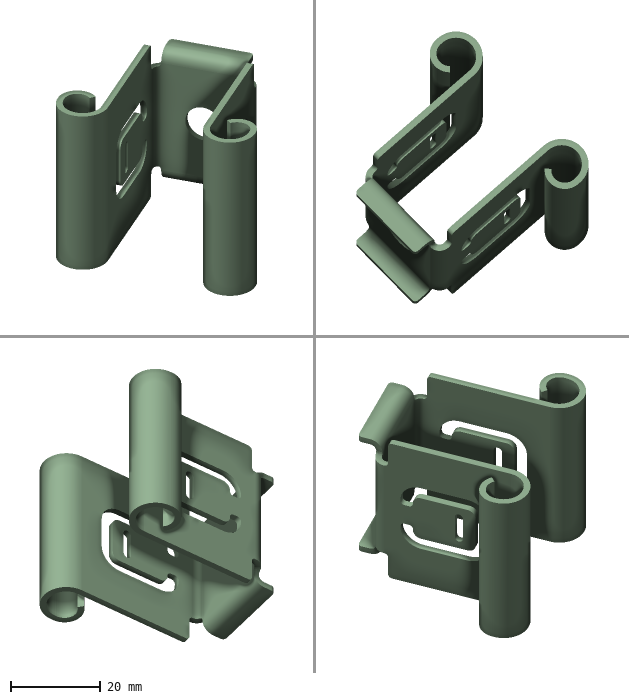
import cadquery as cq
import math


overall_width = 47.0
overall_depth = 44.0
overall_height = 40.0
sheet = 1.5
bend_inner = sheet
bend_outer = bend_inner + sheet
corner_radius = 1.0

leg_gap = 23.0
leg_inner = leg_gap / 2
leg_outer = leg_inner + sheet
curl_outside = overall_width / 2
curl_radius = (curl_outside - leg_inner) / 2
curl_center = leg_inner + curl_radius
curl_straight = 0.5
hook_radius = 4.5
hook_center = curl_outside - hook_radius
hook_end_angle = 138.0

plate_outer = 33.5
plate_inner = plate_outer - sheet
plate_half = leg_outer - bend_outer
bend_center_y = plate_outer - bend_outer
leg_end = bend_center_y - corner_radius
web_half_height = 13.0
leg_half_height = overall_height / 2
flange_tip = overall_depth - curl_radius
flange_half_height = 17.0
flange_bend_z = flange_half_height - bend_outer
flange_bend_y = plate_inner + bend_outer
mounting_hole_diameter = 8.5

gusset_angle = 30.0

gap_width = 3.0
tongue_front = 8.5
tongue_back = 23.55
tongue_half_height = 6.0
tongue_radius = 1.97
neck_half_height = 2.75
gap_end_radius = 1.0
slot_y = 12.5
slot_length = 8.0
slot_width = 1.97


def on_circle(center_x, center_y, radius, degrees):
    angle = math.radians(degrees)
    return (center_x + radius * math.cos(angle), center_y + radius * math.sin(angle))


def both_ways(body, plane):
    return body.union(body.mirror(plane))


def bent_sheet():
    """Back plate, leg bends, legs and curls at full height."""
    hook_middle = hook_end_angle / 2
    half = (
        cq.Workplane("XY")
        .moveTo(0, plate_inner)
        .lineTo(plate_half, plate_inner)
        .threePointArc(on_circle(plate_half, bend_center_y, bend_inner, 45), (leg_inner, bend_center_y))
        .lineTo(leg_inner, 0)
        .threePointArc((curl_center, -curl_radius), (curl_outside, 0))
        .lineTo(curl_outside, curl_straight)
        .threePointArc(
            on_circle(hook_center, curl_straight, hook_radius, hook_middle),
            on_circle(hook_center, curl_straight, hook_radius, hook_end_angle),
        )
        .lineTo(*on_circle(hook_center, curl_straight, hook_radius - sheet, hook_end_angle))
        .threePointArc(
            on_circle(hook_center, curl_straight, hook_radius - sheet, hook_middle),
            (curl_outside - sheet, curl_straight),
        )
        .lineTo(curl_outside - sheet, 0)
        .threePointArc((curl_center, sheet - curl_radius), (leg_outer, 0))
        .lineTo(leg_outer, bend_center_y)
        .threePointArc(on_circle(plate_half, bend_center_y, bend_outer, 45), (plate_half, plate_outer))
        .lineTo(0, plate_outer)
        .close()
        .extrude(leg_half_height, both=True)
    )
    return both_ways(half, "YZ")


def back_relief():
    """Space removed above and below the side webs, with rounded leg corners."""
    diagonal = corner_radius * math.sqrt(0.5)
    low_center = (leg_end + corner_radius, web_half_height + corner_radius)
    high_center = (leg_end - corner_radius, leg_half_height - corner_radius)
    upper = (
        cq.Workplane("YZ")
        .moveTo(plate_outer, web_half_height)
        .lineTo(low_center[0], web_half_height)
        .threePointArc((low_center[0] - diagonal, low_center[1] - diagonal), (leg_end, low_center[1]))
        .lineTo(leg_end, high_center[1])
        .threePointArc(
            (high_center[0] + diagonal, high_center[1] + diagonal), (high_center[0], leg_half_height)
        )
        .lineTo(plate_outer, leg_half_height)
        .close()
        .extrude(leg_outer, both=True)
    )
    return both_ways(upper, "XY")


def web_gussets(uncut_sheet):
    """Fillets from the side webs up to the back plate, following the bend."""
    spread = math.tan(math.radians(gusset_angle))
    near = bend_inner / 2

    def add_section(workplane, distance):
        return (
            workplane
            .moveTo(plate_half, web_half_height)
            .lineTo(plate_half + distance * spread, web_half_height)
            .ellipseArc(distance * spread, corner_radius, 180, 270, sense=-1)
            .close()
        )

    first = add_section(cq.Workplane("XZ", origin=(0, bend_center_y + near, 0)), near)
    upper = add_section(first.workplane(offset=near - bend_outer), bend_outer).loft(ruled=True)
    right = both_ways(upper, "XY")
    return both_ways(right, "YZ").intersect(uncut_sheet)


def back_panel():
    """Flat back plate with a flange bent backwards at its top and bottom."""
    upper = (
        cq.Workplane("YZ")
        .moveTo(plate_inner, 0)
        .lineTo(plate_inner, flange_bend_z)
        .threePointArc(
            on_circle(flange_bend_y, flange_bend_z, bend_outer, 135), (flange_bend_y, flange_half_height)
        )
        .lineTo(flange_tip, flange_half_height)
        .lineTo(flange_tip, flange_half_height - sheet)
        .lineTo(flange_bend_y, flange_half_height - sheet)
        .threePointArc(
            on_circle(flange_bend_y, flange_bend_z, bend_inner, 135), (plate_outer, flange_bend_z)
        )
        .lineTo(plate_outer, 0)
        .close()
        .extrude(plate_half, both=True)
        .faces(">Y")
        .edges("|Z")
        .fillet(corner_radius)
    )
    return both_ways(upper, "XY")


def mounting_hole():
    return (
        cq.Workplane("XZ", origin=(0, plate_outer, 0))
        .circle(mounting_hole_diameter / 2)
        .extrude(sheet)
    )


def leg_block(y_start, y_end, half_height, radius):
    """Rounded block passing through both legs."""
    return (
        cq.Workplane("YZ")
        .center((y_start + y_end) / 2, 0)
        .rect(y_end - y_start, 2 * half_height)
        .extrude(leg_outer, both=True)
        .edges("|X")
        .fillet(radius)
    )


def tongue_cutout():
    """C-shaped gap round the tongue, and the slot inside the tongue."""
    gap_front = tongue_front - gap_width
    gap_back = tongue_back + gap_width
    around = leg_block(gap_front, gap_back, tongue_half_height + gap_width, tongue_radius + gap_width)
    tongue = leg_block(tongue_front, tongue_back, tongue_half_height, tongue_radius)
    neck = (
        cq.Workplane("YZ")
        .center((tongue_back + gap_back) / 2, 0)
        .rect(2 * gap_width, 2 * neck_half_height)
        .extrude(leg_outer, both=True)
    )
    gap = around.cut(tongue).cut(neck)
    end_corners = cq.selectors.BoxSelector(
        (-leg_outer, tongue_back - gap_end_radius, -neck_half_height - gap_end_radius),
        (leg_outer, gap_back + gap_end_radius, neck_half_height + gap_end_radius),
    )
    gap = gap.edges("|X").edges(end_corners).fillet(gap_end_radius)
    slot = (
        cq.Workplane("YZ")
        .center(slot_y, 0)
        .slot2D(slot_length, slot_width, 90)
        .extrude(leg_outer, both=True)
    )
    return gap.union(slot)


uncut_sheet = bent_sheet()
result = (
    uncut_sheet
    .cut(back_relief())
    .union(web_gussets(uncut_sheet))
    .union(back_panel())
    .cut(mounting_hole())
    .cut(tongue_cutout())
)